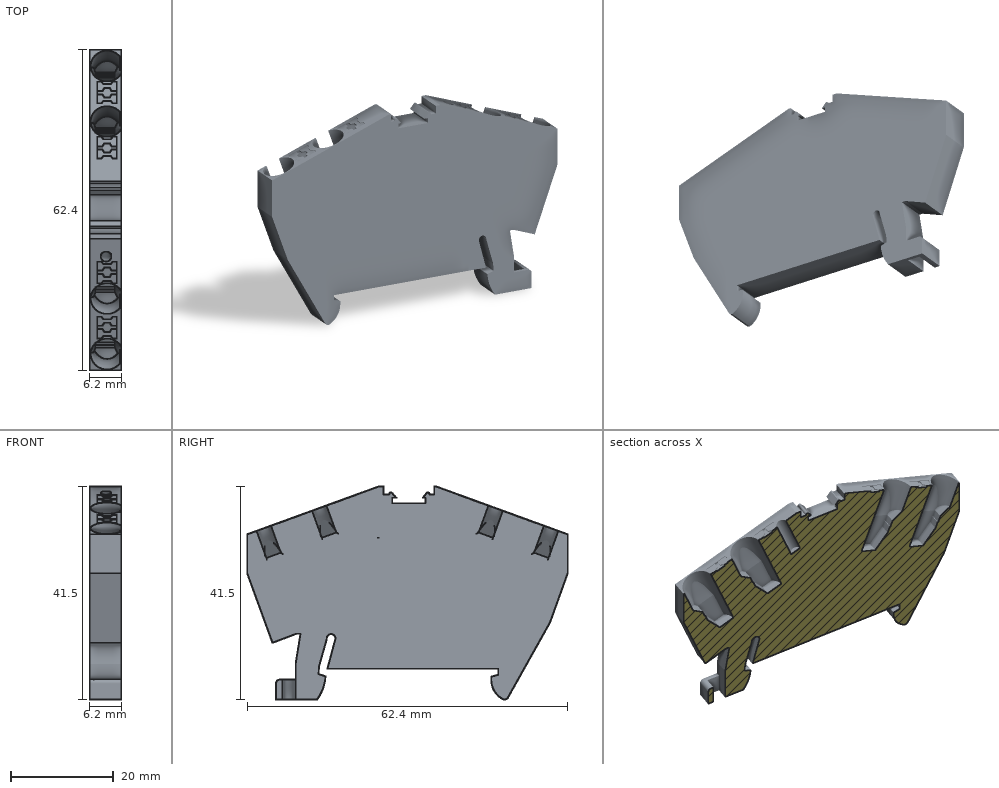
import cadquery as cq
import math

thickness = 6.2
length = 62.4
height = 41.5
half_length = length / 2

slope_angle = 20.0
slope_sin = math.sin(math.radians(slope_angle))
slope_cos = math.cos(math.radians(slope_angle))
slope_tan = slope_sin / slope_cos
apex_y = 5.6
shoulder_z = height - (half_length - apex_y) * slope_tan
end_wall_bottom_z = 24.6
rail_z = 6.0

groove_back_y = 5.2
groove_front_y = -4.6
ledge_z = 39.95
lip_top_z = 40.4
lip_round = lip_top_z - ledge_z
lip_bottom_z = 39.25
groove_floor_z = 38.25

foot_top_z = 3.9
foot_front_y = -25.6
foot_round = 0.75
foot_neck_y = -21.8
foot_slot_length = 2.6
foot_web = 0.8

feature_x = 0.3
wire_hole_y = (17.2, 28.0)
wire_hole_radius = 3.2
hole_depth = 15.0
opening_shoulder_x = 2.75
opening_reach = 1.45
first_ramp_start = 5.9
first_ramp_end = 8.05
first_ramp_angle = 54.0
second_ramp_angle = 70.0
step_height = 1.45
step_ledge = 0.1
throat_left_x = -2.0
throat_right_x = 1.8
throat_depth = 8.1
left_funnel_start = 2.5
right_funnel_start = 5.6
mark_y = (12.15, 22.9)
mark_width = 3.8
mark_length = 4.5
mark_depth = 0.1
notch_depth = 0.5
notch_floor_width = 1.45
notch_mouth_width = 2.2
strip_length = 0.7
strip_depth = 0.4
window_length = 1.95
window_flat_width = 1.05
window_base_width = 1.8
test_hole_x = 0.1
test_hole_y = 9.05
test_hole_diameter = 2.05
test_hole_depth = 9.35


def make_body():
    """Side outline in Y and Z, extruded through the full thickness."""
    outline = (
        cq.Workplane("YZ", origin=(-thickness / 2, 0, 0))
        .moveTo(half_length, shoulder_z)
        .lineTo(half_length, end_wall_bottom_z)
        .lineTo(27.75, 15.05)
        .lineTo(19.65, 0.55)
        .threePointArc((19.3, 0.1), (18.8, 0))
        .threePointArc((17.1, 1.4), (16.3, 3.8))
        .lineTo(16.3, 4.5)
        .lineTo(17.65, 4.85)
        .lineTo(17.65, rail_z)
        .lineTo(-15.6, rail_z)
        .lineTo(-14.05, 11.85)
        .threePointArc((-14.65, 12.7), (-15.65, 11.85))
        .lineTo(-17.15, 6.55)
        .lineTo(-17.3, 5.0)
        .lineTo(-15.9, 4.55)
        .threePointArc((-16.5, 2.0), (-17.6, 0))
        .lineTo(foot_front_y, 0)
        .lineTo(foot_front_y, foot_top_z - foot_round)
        .radiusArc((foot_front_y + foot_round, foot_top_z), foot_round)
        .lineTo(foot_neck_y, foot_top_z)
        .lineTo(foot_neck_y, 7.0)
        .lineTo(-20.85, 12.8)
        .lineTo(-21.65, 12.8)
        .lineTo(-26.3, 11.05)
        .lineTo(-half_length, end_wall_bottom_z)
        .lineTo(-half_length, shoulder_z)
        .lineTo(-apex_y, height)
        .lineTo(groove_front_y, height)
        .lineTo(groove_front_y, ledge_z)
        .lineTo(-3.55, ledge_z)
        .radiusArc((-3.1, lip_top_z), lip_round)
        .lineTo(-2.1, lip_bottom_z)
        .lineTo(-2.95, lip_bottom_z)
        .lineTo(-2.95, groove_floor_z)
        .lineTo(3.5, groove_floor_z)
        .lineTo(3.5, lip_bottom_z)
        .lineTo(2.95, lip_bottom_z)
        .lineTo(3.9, lip_top_z)
        .radiusArc((4.3, ledge_z), lip_round)
        .lineTo(groove_back_y, ledge_z)
        .lineTo(groove_back_y, height)
        .lineTo(apex_y, height)
        .close()
    )
    return outline.extrude(thickness)


def foot_slot():
    """Release slot through the height of the foot, open at the +X side."""
    return (
        cq.Workplane("XY")
        .box(thickness - foot_web, foot_slot_length, foot_top_z, centered=False)
        .translate((foot_web - thickness / 2, foot_neck_y - foot_slot_length, 0))
    )


def front_slope(x, distance):
    """Workplane on the front top face; local +Y runs up the slope."""
    z = height - (distance - apex_y) * slope_tan
    return cq.Workplane(
        cq.Plane(origin=(x, -distance, z), xDir=(1, 0, 0), normal=(0, -slope_sin, slope_cos))
    )


def wire_hole(distance):
    """Hole square to the slope: a round shaft, open to the +X side, that narrows like a funnel."""
    radius = wire_hole_radius
    face = front_slope(feature_x, distance)
    side_x = thickness / 2 - feature_x
    shoulder_x = opening_shoulder_x - feature_x
    left_throat_x = throat_left_x - feature_x
    right_throat_x = throat_right_x - feature_x

    shaft = face.circle(radius).extrude(-hole_depth)
    shoulder = (
        face.center(shoulder_x + radius, -opening_reach - radius)
        .rect(2 * radius, 2 * radius)
        .extrude(-hole_depth)
    )

    first_run = (first_ramp_end - first_ramp_start) / math.tan(math.radians(first_ramp_angle))
    first_wall = first_run - radius
    second_wall = first_wall + step_ledge
    ledge_depth = first_ramp_end + step_height
    second_ramp_start = ledge_depth + step_height
    second_run = (hole_depth - second_ramp_start) / math.tan(math.radians(second_ramp_angle))
    ramp_space = (
        cq.Workplane(face.plane.rotated((0, 90, 0)))
        .polyline([
            (0, -radius),
            (first_ramp_start, -radius),
            (first_ramp_end, first_wall),
            (ledge_depth, first_wall),
            (ledge_depth, second_wall),
            (second_ramp_start, second_wall),
            (hole_depth, second_wall + second_run),
            (hole_depth, radius),
            (0, radius),
        ])
        .close()
        .extrude(radius, both=True)
    )

    funnel_space = (
        cq.Workplane(face.plane.rotated((90, 0, 0)))
        .polyline([
            (-radius, 0),
            (-radius, -left_funnel_start),
            (left_throat_x, -throat_depth),
            (left_throat_x, -hole_depth),
            (right_throat_x, -hole_depth),
            (right_throat_x, -throat_depth),
            (side_x, -right_funnel_start),
            (side_x, 0),
        ])
        .close()
        .extrude(radius, both=True)
    )
    return shaft.cut(shoulder).intersect(ramp_space).intersect(funnel_space)


def clamp_mark(distance):
    """Shallow notched rectangle, crossed by a deeper strip that widens to six sides."""
    half_width = mark_width / 2
    half_mark = mark_length / 2
    half_mouth = notch_mouth_width / 2
    half_notch = notch_floor_width / 2
    notch_y = half_mark - notch_depth
    half_strip = strip_length / 2
    half_window = window_length / 2
    face = front_slope(feature_x, distance)
    upper_edge = [
        (-half_width, half_mark),
        (-half_mouth, half_mark),
        (-half_notch, notch_y),
        (half_notch, notch_y),
        (half_mouth, half_mark),
        (half_width, half_mark),
    ]
    lower_edge = [(x, -y) for x, y in reversed(upper_edge)]
    plate = face.polyline(upper_edge + lower_edge).close().extrude(-mark_depth)
    strip = face.rect(mark_width, strip_length).extrude(-strip_depth)
    window = (
        face.polyline([
            (-window_base_width / 2, half_strip),
            (-window_flat_width / 2, half_window),
            (window_flat_width / 2, half_window),
            (window_base_width / 2, half_strip),
            (window_base_width / 2, -half_strip),
            (window_flat_width / 2, -half_window),
            (-window_flat_width / 2, -half_window),
            (-window_base_width / 2, -half_strip),
        ])
        .close()
        .extrude(-strip_depth)
    )
    return plate.union(strip).union(window)


result = make_body().cut(foot_slot())

slope_cuts = [wire_hole(y) for y in wire_hole_y] + [clamp_mark(y) for y in mark_y]
for cutter in slope_cuts:
    result = result.cut(cutter).cut(cutter.mirror("XZ"))

test_hole = front_slope(test_hole_x, test_hole_y).circle(test_hole_diameter / 2).extrude(-test_hole_depth)
result = result.cut(test_hole)